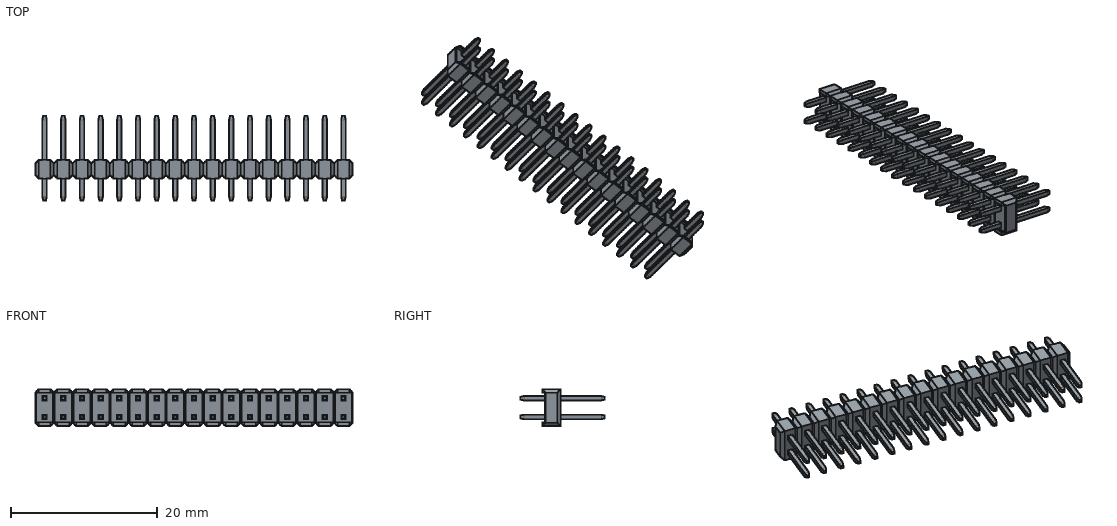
import cadquery as cq

total_length = 43.2
columns = 17
pitch = total_length / columns

body_depth = 2.55
body_height = 5.05
end_bevel = 0.47
recess_depth = 0.35
lip_thickness = 0.5

pin_width = 0.65
pin_tip_width = 0.4
pin_tip_length = 0.5
front_pin_length = 3.0
back_pin_length = 6.0

front_face = -body_depth / 2
back_face = body_depth / 2
column_positions = [(i - (columns - 1) / 2) * pitch for i in range(columns)]
row_heights = [-pitch / 2, pitch / 2]


def make_block():
    """Housing block of one column, bevelled at both X ends and recessed along the front face."""
    block = cq.Workplane("XY").box(pitch, body_depth, body_height)
    block = block.faces("<X or >X").edges().chamfer(end_bevel)
    recess_height = body_height - 2 * lip_thickness
    recess_middle = front_face + recess_depth / 2
    recess = cq.Workplane("XY").box(pitch, recess_depth, recess_height).translate((0, recess_middle, 0))
    return block.cut(recess)


def make_tip(base_y, z, direction):
    """Pin tip that narrows from base_y, pointing along -Y or +Y."""
    plane = cq.Plane(origin=(0, base_y, z), xDir=(1, 0, 0), normal=(0, direction, 0))
    return (
        cq.Workplane(plane)
        .rect(pin_width, pin_width)
        .workplane(offset=pin_tip_length)
        .rect(pin_tip_width, pin_tip_width)
        .loft()
    )


def make_pin(z):
    """Square pin through the housing, tapered at both ends."""
    shaft_front = front_face - front_pin_length + pin_tip_length
    shaft_back = back_face + back_pin_length - pin_tip_length
    shaft_length = shaft_back - shaft_front
    shaft_middle = (shaft_front + shaft_back) / 2
    shaft = cq.Workplane("XY").box(pin_width, shaft_length, pin_width).translate((0, shaft_middle, z))
    return shaft.union(make_tip(shaft_front, z, -1)).union(make_tip(shaft_back, z, 1))


def make_column():
    """One housing block with a lower and an upper pin."""
    column = make_block()
    for z in row_heights:
        column = column.union(make_pin(z))
    return column


column_solid = make_column().val()
first, *others = [column_solid.moved(cq.Location(cq.Vector(x, 0, 0))) for x in column_positions]
joined = first.fuse(*others).clean()
result = cq.Workplane("XY").newObject(joined.Solids())